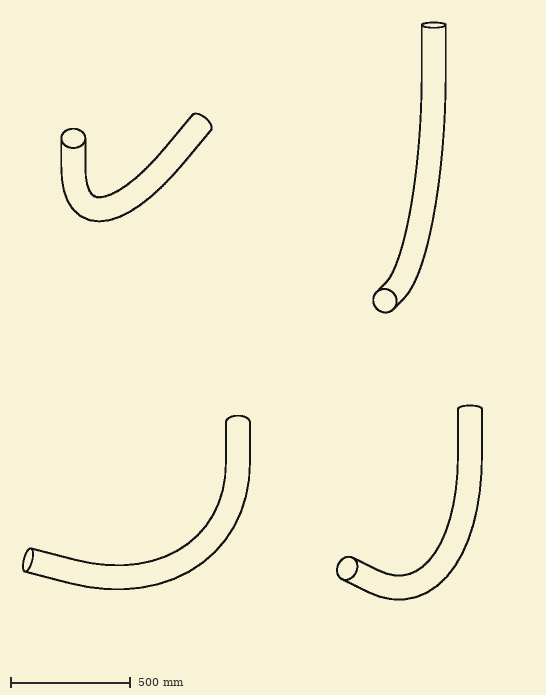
import cadquery as cq
import math

overall_size = 1016.0
outer_diameter = 102.0
inner_diameter = 99.0
leg_length = 203.0

bend_radius = overall_size - leg_length - outer_diameter / 2
arc_offset = bend_radius * (1 - math.cos(math.radians(45)))

centreline = (
    cq.Workplane("YZ")
    .moveTo(0, bend_radius + leg_length)
    .lineTo(0, bend_radius)
    .threePointArc((arc_offset, arc_offset), (bend_radius, 0))
    .lineTo(bend_radius + leg_length, 0)
)

top_end = cq.Workplane("XY").workplane(offset=bend_radius + leg_length)
section = top_end.circle(outer_diameter / 2).circle(inner_diameter / 2)

result = section.sweep(centreline)